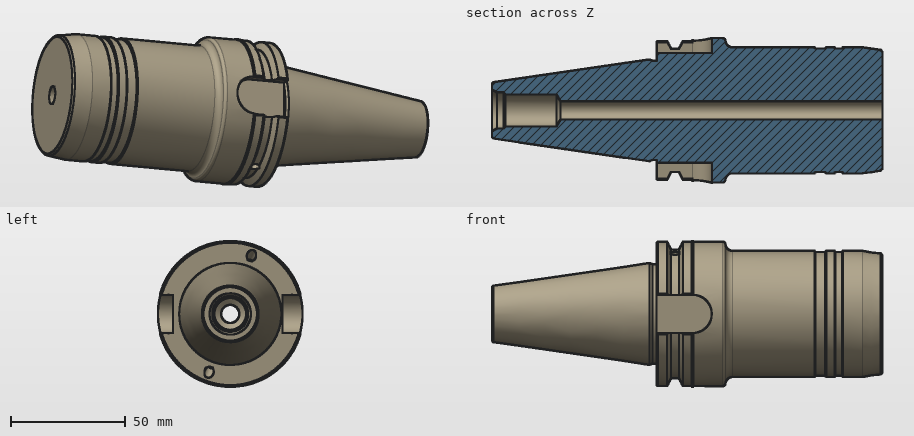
import cadquery as cq
import math


GAUGE_RADIUS = 44.45 / 2
TAPER_SLOPE = 7 / 24 / 2
TAPER_LENGTH = 68.4
SHANK_CHAMFER = 0.6
NECK_RADIUS = 21.7
NECK_CONE_LENGTH = 1.4

FLANGE_RADIUS = 31.5
FLANGE_START = 3.2
RIM_RADIUS = 31.75
RIM_START = 18.4
RIM_END = 19.2
FLANGE_EDGE_CHAMFER = 0.5

GROOVE_CENTER = 11.2
GROOVE_FLOOR_RADIUS = 56.25 / 2
GROOVE_FLOOR_WIDTH = 3.4
GROOVE_FLANK_ANGLE = 28

SHOULDER_START = 31.8
SHOULDER_FOOT = 36.2
SHOULDER_EDGE_SHARE = 0.32

BODY_RADIUS = 27.5
BODY_END = 101.45
BODY_GROOVE_DEPTH = 0.5
BODY_GROOVES = ((71.8, 77.0), (80.5, 84.3))
NOSE_TAPER_START = 92.8
NOSE_TAPER_END_RADIUS = 26.4
NOSE_EDGE_CHAMFER = 0.9

SLOT_WIDTH = 16.6
SLOT_EDGE_CHAMFER = 0.8
SLOT_END = 27.2
SLOT_FLOOR_FRONT = 22.8
SLOT_FLOOR_BACK = 25.0

MOUTH_RADIUS = 9.0
MOUTH_CONE_DEPTH = 2.2
COUNTERBORE_RADIUS = 7.8
COUNTERBORE_DEPTH = 5.0
THREAD_RADIUS = 13.835 / 2
THREAD_DEPTH = 28.0
COOLANT_RADIUS = 3.9
DRILL_POINT_ANGLE = 59

PORT_RADIUS = 2.0
CROSS_HOLE_RADIUS = 2.0
PORT_CIRCLE_RADIUS = 27.0
PORT_OFFSET_ANGLE = 20
PORT_TILT = 36
PORT_DEPTH = 12.0
PORT_LEAD_IN = 3.0
CROSS_HOLE_FLOOR = 19.0


def revolve(points):
    """Revolve a closed (x, radius) outline about the X axis."""
    return cq.Workplane("XY").polyline(points).close().revolve(360, (0, 0, 0), (1, 0, 0))


def body_of_revolution():
    shank_end = -TAPER_LENGTH
    shank_end_radius = GAUGE_RADIUS - TAPER_LENGTH * TAPER_SLOPE
    chamfer_radius = shank_end_radius + SHANK_CHAMFER * TAPER_SLOPE
    rim_height = RIM_RADIUS - FLANGE_RADIUS
    nose_end_radius = NOSE_TAPER_END_RADIUS - NOSE_EDGE_CHAMFER
    shoulder_middle = (
        SHOULDER_START + SHOULDER_EDGE_SHARE * (SHOULDER_FOOT - SHOULDER_START),
        FLANGE_RADIUS - SHOULDER_EDGE_SHARE * (FLANGE_RADIUS - BODY_RADIUS),
    )
    return (
        cq.Workplane("XY")
        .moveTo(shank_end, 0)
        .lineTo(shank_end, shank_end_radius - SHANK_CHAMFER)
        .lineTo(shank_end + SHANK_CHAMFER, chamfer_radius)
        .lineTo(0, GAUGE_RADIUS)
        .lineTo(NECK_CONE_LENGTH, NECK_RADIUS)
        .lineTo(FLANGE_START, NECK_RADIUS)
        .lineTo(FLANGE_START, FLANGE_RADIUS - FLANGE_EDGE_CHAMFER)
        .lineTo(FLANGE_START + FLANGE_EDGE_CHAMFER, FLANGE_RADIUS)
        .lineTo(RIM_START, FLANGE_RADIUS)
        .lineTo(RIM_START + rim_height, RIM_RADIUS)
        .lineTo(RIM_END - rim_height, RIM_RADIUS)
        .lineTo(RIM_END, FLANGE_RADIUS)
        .lineTo(SHOULDER_START, FLANGE_RADIUS)
        .tangentArcPoint(shoulder_middle, relative=False)
        .tangentArcPoint((SHOULDER_FOOT, BODY_RADIUS), relative=False)
        .lineTo(NOSE_TAPER_START, BODY_RADIUS)
        .lineTo(BODY_END - NOSE_EDGE_CHAMFER, NOSE_TAPER_END_RADIUS)
        .lineTo(BODY_END, nose_end_radius)
        .lineTo(BODY_END, 0)
        .close()
        .revolve(360, (0, 0, 0), (1, 0, 0))
    )


def gripper_groove():
    half_floor = GROOVE_FLOOR_WIDTH / 2
    rise = FLANGE_RADIUS - GROOVE_FLOOR_RADIUS
    half_mouth = half_floor + rise * math.tan(math.radians(GROOVE_FLANK_ANGLE))
    return revolve([
        (GROOVE_CENTER - half_floor, GROOVE_FLOOR_RADIUS),
        (GROOVE_CENTER + half_floor, GROOVE_FLOOR_RADIUS),
        (GROOVE_CENTER + half_mouth, FLANGE_RADIUS),
        (GROOVE_CENTER - half_mouth, FLANGE_RADIUS),
    ])


def body_groove(start, end):
    floor = BODY_RADIUS - BODY_GROOVE_DEPTH
    return revolve([
        (start, BODY_RADIUS),
        (start + BODY_GROOVE_DEPTH, floor),
        (end - BODY_GROOVE_DEPTH, floor),
        (end, BODY_RADIUS),
    ])


def axial_bore():
    start = -TAPER_LENGTH
    cone_start = start + THREAD_DEPTH
    cone_length = (THREAD_RADIUS - COOLANT_RADIUS) / math.tan(math.radians(DRILL_POINT_ANGLE))
    return revolve([
        (start, 0),
        (start, MOUTH_RADIUS),
        (start + MOUTH_CONE_DEPTH, COUNTERBORE_RADIUS),
        (start + COUNTERBORE_DEPTH, COUNTERBORE_RADIUS),
        (start + COUNTERBORE_DEPTH + COUNTERBORE_RADIUS - THREAD_RADIUS, THREAD_RADIUS),
        (cone_start, THREAD_RADIUS),
        (cone_start + cone_length, COOLANT_RADIUS),
        (BODY_END, COOLANT_RADIUS),
        (BODY_END, 0),
    ])


def drive_slot(side, floor):
    half_width = SLOT_WIDTH / 2
    outline = (
        cq.Workplane("XZ")
        .moveTo(FLANGE_START, -half_width)
        .lineTo(SLOT_END - half_width, -half_width)
        .threePointArc((SLOT_END, 0), (SLOT_END - half_width, half_width))
        .lineTo(FLANGE_START, half_width)
        .close()
    )
    depth = RIM_RADIUS - floor
    return outline.extrude(-side * depth).translate((0, side * floor, 0))


def slot_edge_chamfers(side):
    """Wedges along the outer edges of the straight slot walls."""
    half_width = SLOT_WIDTH / 2
    edge_reach = math.sqrt(FLANGE_RADIUS**2 - half_width**2)
    overlap = RIM_RADIUS - edge_reach
    section = [
        (side * (edge_reach - SLOT_EDGE_CHAMFER), half_width),
        (side * RIM_RADIUS, half_width + SLOT_EDGE_CHAMFER + overlap),
        (side * RIM_RADIUS, half_width),
    ]
    wedge = (
        cq.Workplane("YZ", origin=(FLANGE_START, 0, 0))
        .polyline(section)
        .close()
        .extrude(SLOT_END - half_width - FLANGE_START)
    )
    return wedge.union(wedge.mirror("XY"))


def coolant_port():
    """Inclined hole from the flange face, met by a radial hole from the gripper groove."""
    tilt = math.radians(PORT_TILT)
    direction = cq.Vector(math.cos(tilt), 0, -math.sin(tilt))
    mouth = cq.Vector(FLANGE_START, 0, PORT_CIRCLE_RADIUS)
    port = cq.Solid.makeCylinder(
        PORT_RADIUS,
        PORT_LEAD_IN + PORT_DEPTH,
        mouth - direction * PORT_LEAD_IN,
        direction,
    )
    cross = cq.Solid.makeCylinder(
        CROSS_HOLE_RADIUS,
        FLANGE_RADIUS - CROSS_HOLE_FLOOR,
        cq.Vector(GROOVE_CENTER, 0, CROSS_HOLE_FLOOR),
        cq.Vector(0, 0, 1),
    )
    return cq.Workplane("XY").add(port.fuse(cross))


result = body_of_revolution().cut(gripper_groove()).cut(axial_bore())
for groove_start, groove_end in BODY_GROOVES:
    result = result.cut(body_groove(groove_start, groove_end))
for slot_side, slot_floor in ((-1, SLOT_FLOOR_FRONT), (1, SLOT_FLOOR_BACK)):
    result = result.cut(drive_slot(slot_side, slot_floor)).cut(slot_edge_chamfers(slot_side))
for half_turn in (0, 180):
    port = coolant_port().rotate((0, 0, 0), (1, 0, 0), PORT_OFFSET_ANGLE + half_turn)
    result = result.cut(port)